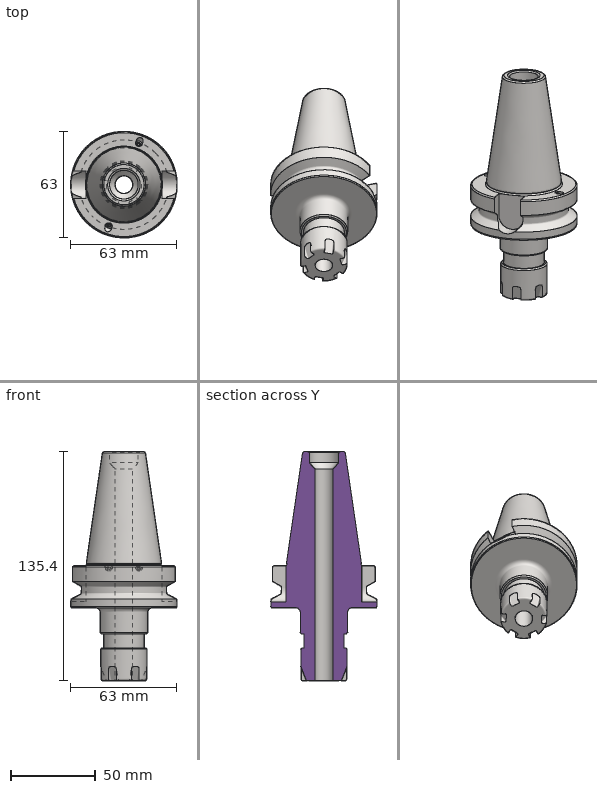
import cadquery as cq
import math

total_height = 135.4
gauge_z = 70.0
flange_top_z = 68.0
flange_bottom_z = 43.0
shank_bottom_z = 27.6
nut_top_z = 19.5

gauge_radius = 22.2
taper_ratio = 7 / 24
taper_top_radius = gauge_radius - (total_height - gauge_z) * taper_ratio / 2
taper_edge = 0.8

relief_top_z = 69.2
relief_root_z = 68.8
relief_radius = 21.8
relief_foot_radius = 22.7

flange_radius = 63.0 / 2
flange_edge = 0.8
flange_bottom_edge = 0.4
groove_root_radius = 26.4
groove_top_z = 58.6
groove_bottom_z = 48.3
groove_wall_angle = 30
groove_wall_height = (flange_radius - groove_root_radius) * math.tan(math.radians(groove_wall_angle))
groove_fillet = 1.0

slot_count = 2
first_slot_angle = 0
slot_width = 16.1
slot_floor_x = 22.5
slot_bottom_z = 46.7

shank_radius = 14.1
shank_edge = 0.8
shank_fillet = 2.7
neck_radius = 12.0
nut_radius = 27.5 / 2
nut_top_edge = 0.8
nut_bottom_round = 1.1

notch_count = 6
first_notch_angle = 0
notch_width = 5.3
notch_fillet = 0.5
notch_height = 8.5
notch_floor_radius = 10.4

mouth_radius = 9.6
mouth_depth = 0.7
counterbore_radius = 16.9 / 2
counterbore_depth = 6.6
floor_step_radius = 7.0
upper_cone_height = 1.8
lower_cone_height = 1.9
through_radius = 5.1

coolant_count = 2
first_coolant_angle = 70
coolant_circle_radius = 27.0
coolant_radius = 2.0
coolant_tilt = 38
coolant_depth = 2.0
socket_sides = 6
socket_across_flats = 1.9
socket_depth = 1.1


def turned_body():
    """Revolve the outer profile of taper, flange, shank and nut."""
    profile = (
        cq.Workplane("XZ")
        .moveTo(0, 0)
        .lineTo(nut_radius - nut_bottom_round, 0)
        .radiusArc((nut_radius, nut_bottom_round), -nut_bottom_round)
        .lineTo(nut_radius, nut_top_z - nut_top_edge)
        .lineTo(nut_radius - nut_top_edge, nut_top_z)
        .lineTo(neck_radius, nut_top_z)
        .lineTo(neck_radius, shank_bottom_z)
        .lineTo(shank_radius - shank_edge, shank_bottom_z)
        .lineTo(shank_radius, shank_bottom_z + shank_edge)
        .lineTo(shank_radius, flange_bottom_z - shank_fillet)
        .radiusArc((shank_radius + shank_fillet, flange_bottom_z), shank_fillet)
        .lineTo(flange_radius - flange_bottom_edge, flange_bottom_z)
        .lineTo(flange_radius, flange_bottom_z + flange_edge)
        .lineTo(flange_radius, groove_bottom_z)
        .lineTo(groove_root_radius, groove_bottom_z + groove_wall_height)
        .lineTo(groove_root_radius, groove_top_z - groove_wall_height)
        .lineTo(flange_radius, groove_top_z)
        .lineTo(flange_radius, flange_top_z - flange_edge)
        .lineTo(flange_radius - flange_edge, flange_top_z)
        .lineTo(relief_foot_radius, flange_top_z)
        .lineTo(relief_radius, relief_root_z)
        .lineTo(gauge_radius, relief_top_z)
        .lineTo(gauge_radius, gauge_z)
        .lineTo(taper_top_radius + taper_edge * taper_ratio / 2, total_height - taper_edge)
        .lineTo(taper_top_radius - taper_edge, total_height)
        .lineTo(0, total_height)
        .close()
    )
    body = profile.revolve(360, (0, 0, 0), (0, 1, 0))
    root_corners = cq.selectors.BoxSelector(
        (-flange_radius, -flange_radius, groove_bottom_z + groove_wall_height / 2),
        (flange_radius, flange_radius, groove_top_z - groove_wall_height / 2),
    )
    return body.edges(root_corners).edges("%CIRCLE").fillet(groove_fillet)


def axial_bore():
    """Revolve the stepped bore as one cutter."""
    upper_cone_z = total_height - counterbore_depth
    lower_cone_z = upper_cone_z - upper_cone_height
    return (
        cq.Workplane("XZ")
        .moveTo(0, 0)
        .lineTo(through_radius, 0)
        .lineTo(through_radius, lower_cone_z - lower_cone_height)
        .lineTo(floor_step_radius, lower_cone_z)
        .lineTo(counterbore_radius, upper_cone_z)
        .lineTo(counterbore_radius, total_height - mouth_depth)
        .lineTo(mouth_radius, total_height)
        .lineTo(0, total_height)
        .close()
        .revolve(360, (0, 0, 0), (0, 1, 0))
    )


def drive_slot():
    """Round-ended slot cutter on the +X side, open at the flange top."""
    half_width = slot_width / 2
    arc_center_z = slot_bottom_z + half_width
    return (
        cq.Workplane("YZ", origin=(slot_floor_x, 0, 0))
        .moveTo(-half_width, flange_top_z)
        .lineTo(-half_width, arc_center_z)
        .threePointArc((0, slot_bottom_z), (half_width, arc_center_z))
        .lineTo(half_width, flange_top_z)
        .close()
        .extrude(flange_radius)
    )


def nut_notch():
    """Wedge cutter on the +X side of the nut, rounded along its floor."""
    cutter_radius = 2 * nut_radius
    wedge = (
        cq.Workplane("XZ")
        .moveTo(notch_floor_radius, 0)
        .lineTo(nut_radius, notch_height)
        .lineTo(cutter_radius, notch_height)
        .lineTo(cutter_radius, 0)
        .close()
        .extrude(notch_width / 2, both=True)
    )
    floor_edges = cq.selectors.BoxSelector(
        (notch_floor_radius, -notch_width, 0),
        (nut_radius, notch_width, notch_height),
    )
    return wedge.edges("#Y").edges(floor_edges).fillet(notch_fillet)


def coolant_hole():
    """Blind hole with a hexagon socket on the +X side, leaning towards the axis as it goes down."""
    tilt = math.radians(coolant_tilt)
    outward = (math.sin(tilt), 0, math.cos(tilt))
    mouth = cq.Plane((coolant_circle_radius, 0, flange_top_z), (0, 1, 0), outward)
    socket_diameter = socket_across_flats / math.cos(math.pi / socket_sides)
    hole = (
        cq.Workplane(mouth)
        .workplane(offset=-coolant_depth)
        .circle(coolant_radius)
        .extrude(2 * coolant_depth)
    )
    socket = (
        cq.Workplane(mouth)
        .workplane(offset=-coolant_depth - socket_depth)
        .polygon(socket_sides, socket_diameter)
        .extrude(coolant_depth + socket_depth)
    )
    return hole.union(socket)


def cut_around(body, cutter, count, first_angle):
    """Cut copies of the cutter evenly spaced around the Z axis."""
    for index in range(count):
        angle = first_angle + index * 360 / count
        body = body.cut(cutter.rotate((0, 0, 0), (0, 0, 1), angle))
    return body


result = turned_body().cut(axial_bore())
result = cut_around(result, drive_slot(), slot_count, first_slot_angle)
result = cut_around(result, nut_notch(), notch_count, first_notch_angle)
result = cut_around(result, coolant_hole(), coolant_count, first_coolant_angle)